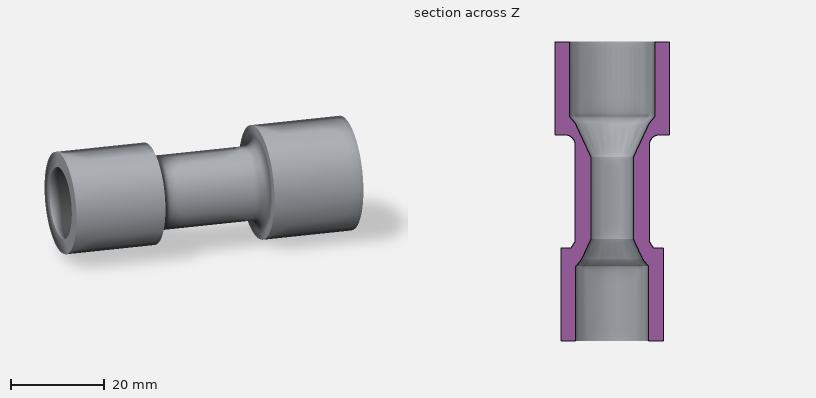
import cadquery as cq
import math

total_length = 64.0
half_length = total_length / 2
sleeve_length = 20.0

small_sleeve_radius = 11.0
large_sleeve_diameter = 24.65
large_sleeve_radius = large_sleeve_diameter / 2
neck_radius = 8.0

cone_length = 1.35
cone_angle = math.radians(32)
flare_radius = 2.05

throat_radius = 4.5
small_socket_radius = 7.75
sleeve_wall = small_sleeve_radius - small_socket_radius
large_socket_radius = large_sleeve_radius - sleeve_wall
socket_depth = 16.0
seat_width = 1.2
seat_angle = math.radians(40)
entry_angle = math.radians(25)


def make_body():
    """Solid of revolution: small sleeve, neck and large sleeve, going toward +Y."""
    small_shoulder = -half_length + sleeve_length
    large_shoulder = half_length - sleeve_length
    cone_rise = cone_length * math.tan(cone_angle)
    flare_start = large_shoulder - flare_radius
    flare_center_radius = neck_radius + flare_radius
    flare_middle = (
        flare_center_radius - flare_radius * math.sqrt(0.5),
        flare_start + flare_radius * math.sqrt(0.5),
    )
    flare_end = (flare_center_radius, large_shoulder)
    profile = (
        cq.Workplane("XY")
        .moveTo(0, -half_length)
        .lineTo(small_sleeve_radius, -half_length)
        .lineTo(small_sleeve_radius, small_shoulder)
        .lineTo(neck_radius + cone_rise, small_shoulder)
        .lineTo(neck_radius, small_shoulder + cone_length)
        .lineTo(neck_radius, flare_start)
        .threePointArc(flare_middle, flare_end)
        .lineTo(large_sleeve_radius, large_shoulder)
        .lineTo(large_sleeve_radius, half_length)
        .lineTo(0, half_length)
        .close()
    )
    return profile.revolve(360, (0, 0, 0), (0, 1, 0))


def make_socket(socket_radius):
    """Cutter for a socket at the -Y end: bore, conical seat, then a tapered throat entry."""
    seat_start = -half_length + socket_depth
    seat_end = seat_start + seat_width / math.tan(seat_angle)
    seat_end_radius = socket_radius - seat_width
    throat_start = seat_end + (seat_end_radius - throat_radius) / math.tan(entry_angle)
    profile = (
        cq.Workplane("XY")
        .moveTo(0, -half_length)
        .lineTo(socket_radius, -half_length)
        .lineTo(socket_radius, seat_start)
        .lineTo(seat_end_radius, seat_end)
        .lineTo(throat_radius, throat_start)
        .lineTo(0, throat_start)
        .close()
    )
    return profile.revolve(360, (0, 0, 0), (0, 1, 0))


throat = cq.Workplane("XZ").circle(throat_radius).extrude(half_length, both=True)
small_socket = make_socket(small_socket_radius)
large_socket = make_socket(large_socket_radius).mirror("XZ")

result = make_body().cut(throat).cut(small_socket).cut(large_socket)